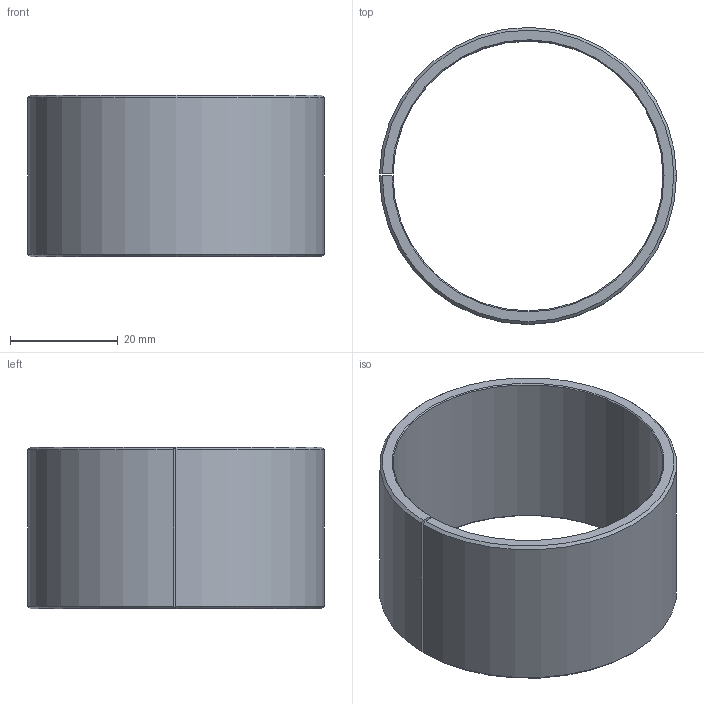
import cadquery as cq
import math

outer_diameter = 55.0
wall_thickness = 2.5
height = 30.0
outer_chamfer = 0.5
inner_chamfer = 0.2
slit_angle = 1.0

outer_radius = outer_diameter / 2
inner_radius = outer_radius - wall_thickness


def full_ring():
    """Closed ring around the Z axis with bevelled inner and outer rims."""
    wall_section = (
        cq.Workplane("XZ")
        .moveTo(inner_radius, inner_chamfer)
        .lineTo(inner_radius + inner_chamfer, 0)
        .lineTo(outer_radius - outer_chamfer, 0)
        .lineTo(outer_radius, outer_chamfer)
        .lineTo(outer_radius, height - outer_chamfer)
        .lineTo(outer_radius - outer_chamfer, height)
        .lineTo(inner_radius + inner_chamfer, height)
        .lineTo(inner_radius, height - inner_chamfer)
        .close()
    )
    return wall_section.revolve(360, (0, 0, 0), (0, 1, 0))


def slit_wedge():
    """Thin wedge from the Z axis through the -X wall, one face on the XZ plane, opening toward +Y."""
    reach = outer_diameter
    opening = reach * math.tan(math.radians(slit_angle))
    return (
        cq.Workplane("XY")
        .polyline([(0, 0), (-reach, 0), (-reach, opening)])
        .close()
        .extrude(height)
    )


result = full_ring().cut(slit_wedge())